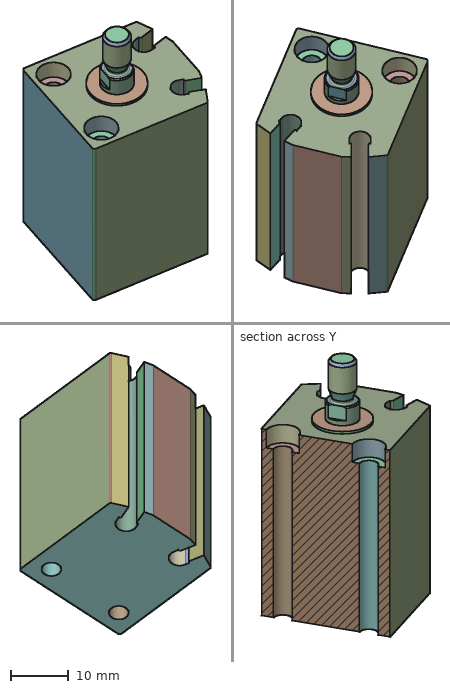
import cadquery as cq
import math

overall_height = 48.0

housing_width = 24.0
housing_height = 36.0
front_y = -housing_width / 2
crown_y = 14.0
crown_half_width = 4.4
crown_slope = 14.5
side_top_y = 11.25
side_top_radius = 0.25
ear_x = 9.0
ear_y = 12.6
corner_radius = 0.5

collar_diameter = 10.7
collar_height = 0.5
collar_top_z = housing_height + collar_height

mount_offset = 8.0
mount_diameter = 3.4
counterbore_diameter = 6.0
counterbore_depth = 3.5

slot_center_x = 6.35
slot_center_y = 9.25
slot_tilt = 17.0
slot_diameter = 3.8
slot_mouth_width = 3.0
slot_lip_height = 0.85
slot_lip_fillet = 0.25
slot_mouth_length = 5.75

rod_diameter = 6.0
rod_bottom_z = housing_height / 2
shoulder_z = 40.05
shoulder_chamfer = 0.25
flats_width = 5.0
flats_bottom_z = 37.4
neck_diameter = 3.8
neck_fillet = 0.3
neck_top_z = 40.65
stud_diameter = 5.0
stud_bottom_z = 42.35
tip_diameter = 4.15
tip_chamfer_height = 0.6


def make_housing_block():
    """Extruded outline with a flat crown, sloping shoulders and sloping ears."""
    half_width = housing_width / 2
    shoulder_x = (crown_half_width + ear_x) / 2
    shoulder_y = crown_y - (shoulder_x - crown_half_width) * math.tan(math.radians(crown_slope))
    block = (
        cq.Workplane("XY")
        .moveTo(-half_width, front_y)
        .lineTo(half_width, front_y)
        .lineTo(half_width, side_top_y)
        .lineTo(ear_x, ear_y)
        .lineTo(shoulder_x, shoulder_y)
        .lineTo(crown_half_width, crown_y)
        .lineTo(-crown_half_width, crown_y)
        .lineTo(-shoulder_x, shoulder_y)
        .lineTo(-ear_x, ear_y)
        .lineTo(-half_width, side_top_y)
        .close()
        .extrude(housing_height)
    )
    block = block.faces("<Y").edges("|Z").fillet(corner_radius)
    for side_face in ("<X", ">X"):
        block = block.faces(side_face).edges("|Z").edges(">Y").fillet(side_top_radius)
    return block


def make_slot_cutter(side):
    """Round-bottomed slot with a narrower mouth; side is +1 for +X, -1 for -X."""
    radius = slot_diameter / 2
    half_mouth = slot_mouth_width / 2
    return (
        cq.Workplane("XY")
        .moveTo(-radius, 0)
        .threePointArc((0, -radius), (radius, 0))
        .lineTo(radius, slot_lip_height)
        .lineTo(half_mouth + slot_lip_fillet, slot_lip_height)
        .radiusArc((half_mouth, slot_lip_height + slot_lip_fillet), slot_lip_fillet)
        .lineTo(half_mouth, slot_mouth_length)
        .lineTo(-half_mouth, slot_mouth_length)
        .lineTo(-half_mouth, slot_lip_height + slot_lip_fillet)
        .radiusArc((-half_mouth - slot_lip_fillet, slot_lip_height), slot_lip_fillet)
        .lineTo(-radius, slot_lip_height)
        .close()
        .extrude(housing_height)
        .rotate((0, 0, 0), (0, 0, 1), -side * slot_tilt)
        .translate((side * slot_center_x, slot_center_y, 0))
    )


def make_housing():
    """Slotted housing with mounting holes, a collar and a blind bore for the rod."""
    body = make_housing_block()
    for side in (-1, 1):
        body = body.cut(make_slot_cutter(side))
    body = (
        body.faces(">Z")
        .workplane(origin=(0, 0, housing_height))
        .pushPoints([(-mount_offset, -mount_offset), (mount_offset, -mount_offset)])
        .cboreHole(mount_diameter, counterbore_diameter, counterbore_depth)
    )
    collar = (
        cq.Workplane("XY", origin=(0, 0, housing_height))
        .circle(collar_diameter / 2)
        .extrude(collar_height)
    )
    bore = (
        cq.Workplane("XY", origin=(0, 0, rod_bottom_z))
        .circle(rod_diameter / 2)
        .extrude(collar_top_z - rod_bottom_z)
    )
    return body.union(collar).cut(bore)


def make_rod():
    """Turned rod with a necked stud and two wrench flats."""
    rod_radius = rod_diameter / 2
    neck_radius = neck_diameter / 2
    stud_radius = stud_diameter / 2
    rod = (
        cq.Workplane("XZ")
        .moveTo(0, rod_bottom_z)
        .lineTo(rod_radius, rod_bottom_z)
        .lineTo(rod_radius, shoulder_z - shoulder_chamfer)
        .lineTo(rod_radius - shoulder_chamfer, shoulder_z)
        .lineTo(neck_radius + neck_fillet, shoulder_z)
        .radiusArc((neck_radius, shoulder_z + neck_fillet), neck_fillet)
        .lineTo(neck_radius, neck_top_z)
        .lineTo(stud_radius, stud_bottom_z)
        .lineTo(stud_radius, overall_height - tip_chamfer_height)
        .lineTo(tip_diameter / 2, overall_height)
        .lineTo(0, overall_height)
        .close()
        .revolve(360, (0, 0, 0), (0, 1, 0))
    )
    flat_depth = (rod_diameter - flats_width) / 2
    for side in (-1, 1):
        flat_cutter = cq.Workplane("XY").box(
            rod_diameter, flat_depth, shoulder_z - flats_bottom_z, centered=(True, True, False)
        )
        flat_y = side * (flats_width + flat_depth) / 2
        rod = rod.cut(flat_cutter.translate((0, flat_y, flats_bottom_z)))
    return rod


housing = make_housing()
rod = make_rod()
result = cq.Compound.makeCompound([housing.val(), rod.val()])